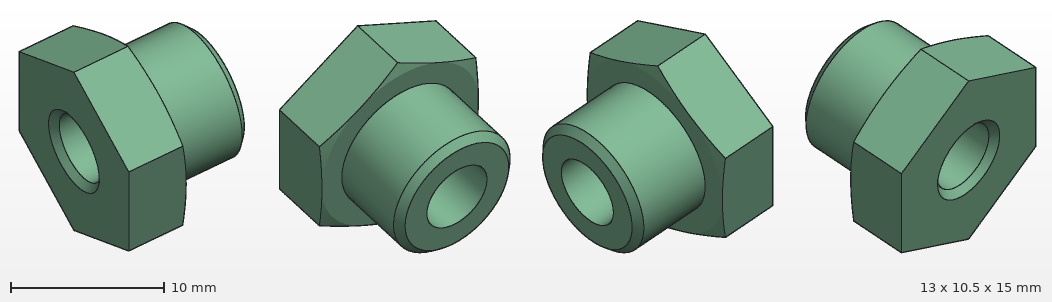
import cadquery as cq
import math

across_corners = 15.01
head_length = 4.5
shank_length = 6.0
shank_diameter = 9.7
shank_chamfer = 0.54
bore_diameter = 5.0
countersink_diameter = 6.0
head_chamfer_angle = 15.0

corner_radius = across_corners / 2
flat_radius = corner_radius * math.cos(math.radians(30))
corner_drop = (corner_radius - flat_radius) * math.tan(math.radians(head_chamfer_angle))
total_length = head_length + shank_length
shank_radius = shank_diameter / 2
bore_radius = bore_diameter / 2
countersink_radius = countersink_diameter / 2
countersink_depth = countersink_radius - bore_radius


def revolve_about_y(points):
    """Revolve a closed (radius, y) outline around the Y axis."""
    return cq.Workplane("XY").polyline(points).close().revolve(360, (0, 0, 0), (0, 1, 0))


def make_head():
    """Hexagon with corners at +Z and -Z, its shoulder side cut by a shallow cone."""
    corners = [
        (
            corner_radius * math.sin(math.radians(60 * i)),
            corner_radius * math.cos(math.radians(60 * i)),
        )
        for i in range(6)
    ]
    hexagon = cq.Workplane("XZ").polyline(corners).close().extrude(-head_length)
    envelope = revolve_about_y([
        (0, 0),
        (corner_radius, 0),
        (corner_radius, head_length - corner_drop),
        (flat_radius, head_length),
        (0, head_length),
    ])
    return hexagon.intersect(envelope)


def make_shank():
    """Round shank with a chamfered free end, running through the head."""
    return revolve_about_y([
        (0, 0),
        (shank_radius, 0),
        (shank_radius, total_length - shank_chamfer),
        (shank_radius - shank_chamfer, total_length),
        (0, total_length),
    ])


def make_bore():
    """Through bore with a countersink at the head face."""
    return revolve_about_y([
        (0, 0),
        (countersink_radius, 0),
        (bore_radius, countersink_depth),
        (bore_radius, total_length),
        (0, total_length),
    ])


result = make_head().union(make_shank()).cut(make_bore())